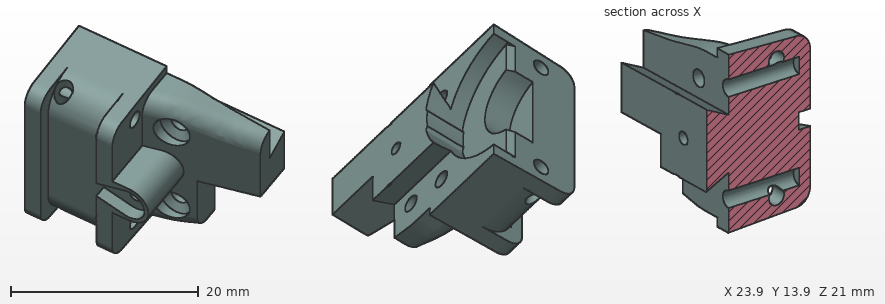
import cadquery as cq
import math

length = 23.9
dovetail_back = 13.93
block_back = 10.97

block_width = 11.0
height_back = 20.95
half_height_back = height_back / 2
half_height_front = 10.01
block_corner = 2.0
flange = 2.0
channel_floor = 1.5
channel_corner = 4.0
channel_end = block_width - flange

wing_half_height = 9.4
wing_front_root = 6.05
wing_front_tip = 9.1
wing_straight_end = 13.03
wing_edge_radius = 2.0
curve_points = [(15.08, 9.18), (19.3, 8.36), (22.05, 8.03)]
tip_height = 7.82
lower_end = 17.02
step_height = -0.98

boss_x = 13.03
boss_radius = 2.49
pocket_diameter = 4.0
pocket_radius = pocket_diameter / 2
pocket_mouth_half = 1.0
boss_hole = 1.5

clearance = 2.0
sink_diameter = 4.0
sink_base = 8.36
sink_depth = 0.62
wing_screw_x = 14.2
wing_screw_z = 5.75
block_screw_z = 6.52
side_hole = 1.95
side_hole_y = 4.55
side_hole_z = 8.03
upright_hole_x = 3.0
upright_hole_y = 3.04

recess_axis_x = -1.0
recess_radius = 9.0
recess_front = 9.0
pocket_recess_radius = 5.0
pocket_recess_front = 5.66
bevel_front = 8.05
bevel_width = 0.35
dovetail_neck_half = 3.42
dovetail_back_half = 4.85

rib_radius = 8.72
rib_half = 1.25
rib_base_half = 1.98
rib_blend = 0.81


def box(x0, x1, y0, y1, z0, z1):
    return cq.Workplane("XY").box(x1 - x0, y1 - y0, z1 - z0, centered=False).translate((x0, y0, z0))


def along_y(x, z, radius, y0, y1):
    """Cylinder parallel to Y, between two depths."""
    return cq.Workplane("XZ", origin=(x, y0, z)).circle(radius).extrude(y0 - y1)


def block_section(front, corner, x0, x1):
    """Tapered section with rounded front corners, extruded along X."""
    slope = (half_height_back - half_height_front) / block_back
    front_half = half_height_front + slope * front
    outline = [
        (front, -front_half),
        (block_back, -half_height_back),
        (block_back, half_height_back),
        (front, front_half),
    ]
    body = cq.Workplane("YZ", origin=(x0, 0, 0)).polyline(outline).close().extrude(x1 - x0)
    return body.edges("|X").edges("<Y").fillet(corner)


def channel_block():
    body = block_section(channel_floor, channel_corner, 0, block_width)
    body = body.union(block_section(0, block_corner, 0, flange))
    return body.union(block_section(0, block_corner, channel_end, block_width))


def wing():
    """Plate with a curved outline, a sloping front and rounded front edges."""
    curve_end_x, curve_end_z = curve_points[-1]
    tip_slope = (tip_height - curve_end_z) / (length - curve_end_x)
    lower = [(x, -z) for x, z in reversed(curve_points)]
    plate = (
        cq.Workplane("XZ")
        .moveTo(block_width, -wing_half_height)
        .lineTo(block_width, wing_half_height)
        .lineTo(wing_straight_end, wing_half_height)
        .spline(curve_points, tangents=[(1, 0), (1, tip_slope)], includeCurrent=True)
        .lineTo(length, tip_height)
        .lineTo(length, -tip_height)
        .lineTo(*lower[0])
        .spline(lower[1:] + [(wing_straight_end, -wing_half_height)],
                tangents=[(-1, tip_slope), (-1, 0)], includeCurrent=True)
        .close()
        .extrude(-dovetail_back)
    )
    front = (
        cq.Workplane("XY")
        .polyline([(block_width, 0), (block_width, wing_front_root), (length, wing_front_tip), (length, 0)])
        .close()
        .extrude(half_height_back, both=True)
    )
    plate = plate.cut(front)
    plate = plate.faces("<Y").edges("not |Z").fillet(wing_edge_radius)
    return plate.intersect(box(0, length, 0, block_back, -half_height_back, half_height_back))


def boss():
    arm = box(block_width, boss_x, 0, block_back, -boss_radius, boss_radius)
    return arm.union(along_y(boss_x, 0, boss_radius, 0, block_back))


def boss_pocket():
    """Round pocket joined to the channel by tangent walls."""
    reach = boss_x - channel_end
    bearing = math.atan2(pocket_mouth_half, -reach)
    spread = math.acos(pocket_radius / math.hypot(reach, pocket_mouth_half))
    angle = bearing - spread
    tangent_x = boss_x + pocket_radius * math.cos(angle)
    tangent_z = pocket_radius * math.sin(angle)
    return (
        cq.Workplane("XZ")
        .moveTo(channel_end, -pocket_mouth_half)
        .lineTo(tangent_x, -tangent_z)
        .threePointArc((boss_x + pocket_radius, 0), (tangent_x, tangent_z))
        .lineTo(channel_end, pocket_mouth_half)
        .close()
        .extrude(-channel_floor)
    )


def dovetail():
    """Flared foot whose near end follows the large recess."""
    outline = [
        (block_back, -dovetail_neck_half),
        (dovetail_back, -dovetail_back_half),
        (dovetail_back, dovetail_back_half),
        (block_back, dovetail_neck_half),
    ]
    return cq.Workplane("YZ").polyline(outline).close().extrude(length)


def recesses():
    cut = along_y(recess_axis_x, 0, recess_radius, recess_front, dovetail_back)
    cut = cut.union(along_y(recess_axis_x, 0, pocket_recess_radius, pocket_recess_front, dovetail_back))
    height = math.sqrt(recess_radius**2 - recess_axis_x**2)
    bevel = (
        cq.Workplane("XY")
        .polyline([(0, bevel_front), (bevel_width, recess_front), (0, recess_front)])
        .close()
        .extrude(height, both=True)
    )
    return cut.union(bevel)


def recess_arc_x(radius, z):
    """X of a circle about the recess axis at a given height."""
    return recess_axis_x + math.sqrt(radius**2 - z**2)


def end_rib():
    base_x = recess_arc_x(recess_radius, rib_base_half)
    edge_x = recess_arc_x(rib_radius, rib_half)
    rib = (
        cq.Workplane("XZ", origin=(0, recess_front, 0))
        .moveTo(block_width, -rib_base_half)
        .lineTo(base_x, -rib_base_half)
        .radiusArc((edge_x, -rib_half), -rib_blend)
        .threePointArc((recess_axis_x + rib_radius, 0), (edge_x, rib_half))
        .radiusArc((base_x, rib_base_half), -rib_blend)
        .lineTo(block_width, rib_base_half)
        .close()
        .extrude(recess_front - dovetail_back)
    )
    return rib


def countersink(z):
    """Through hole, cone and head clearance for a screw in the wing."""
    head_radius = sink_diameter / 2
    hole_radius = clearance / 2
    profile = [
        (0, 0),
        (head_radius, 0),
        (head_radius, sink_base - sink_depth),
        (hole_radius, sink_base),
        (hole_radius, dovetail_back),
        (0, dovetail_back),
    ]
    tool = cq.Workplane("XY").polyline(profile).close().revolve(360, (0, 0, 0), (0, 1, 0))
    return tool.translate((wing_screw_x, 0, z))


body = channel_block().union(wing()).union(boss()).union(dovetail())
body = body.cut(recesses()).union(end_rib())
body = body.cut(boss_pocket())
body = body.cut(along_y(boss_x, 0, boss_hole / 2, 0, dovetail_back))
body = body.cut(box(lower_end, length, 0, dovetail_back, -half_height_back, step_height))

for side in (-1, 1):
    body = body.cut(countersink(side * wing_screw_z))
    body = body.cut(along_y(channel_end, side * block_screw_z, clearance / 2, channel_floor, block_back))
    cross_hole = (
        cq.Workplane("YZ")
        .center(side_hole_y, side * side_hole_z)
        .circle(side_hole / 2)
        .extrude(block_width)
    )
    body = body.cut(cross_hole)

upright_hole = (
    cq.Workplane("XY")
    .center(upright_hole_x, upright_hole_y)
    .circle(clearance / 2)
    .extrude(half_height_back, both=True)
)
result = body.cut(upright_hole)